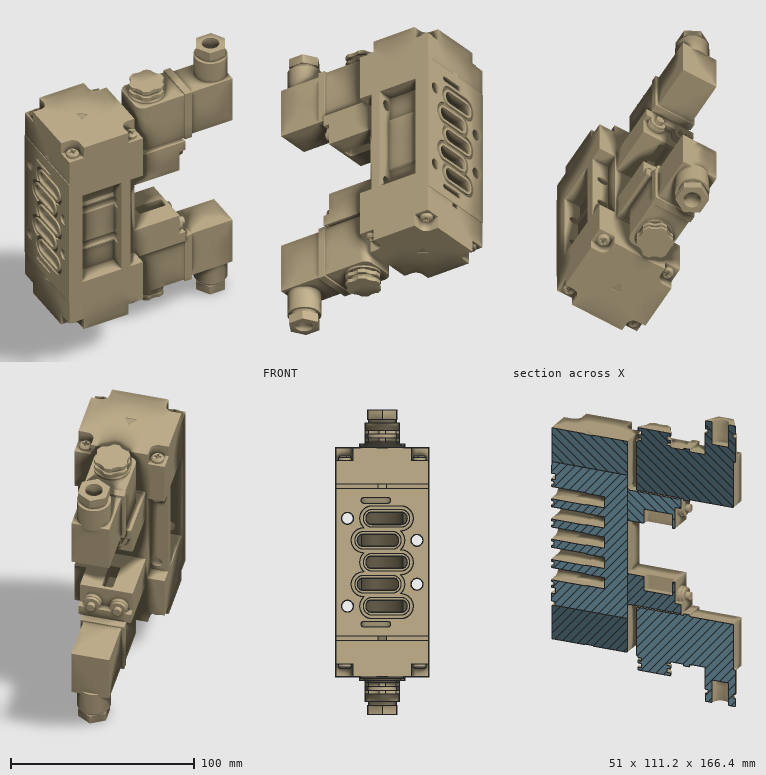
import cadquery as cq
import math


WIDTH = 51.0
HALF_WIDTH = WIDTH / 2
REAR_Y = 46.0
FACE_STEP = 0.3
FACE_HALF_HEIGHT = 40.3
BODY_HALF_HEIGHT = 42.6
KEY_WIDTH = 4.7
KEY_TAB_SETBACK = 0.2
KEY_NOTCH_DEPTH = 2.0

PORT_PITCH = 12.0
PORT_SHIFT = 2.3
PORT_STRAIGHT = 15.7
PORT_RADIUS = 3.5
LIP_RADIUS = 4.8
GROOVE_RADIUS = 6.8
GROOVE_DEPTH = 1.3
SPOOL_Y = 20.6
CHAMBER_RADIUS = 11.3
CHAMBER_HEIGHT = 6.3

PILOT_SLOT_LENGTH = 16.2
PILOT_SLOT_HEIGHT = 3.2
PILOT_SLOT_DEPTH = 2.5
PILOT_SLOT_X = -3.5
PILOT_SLOT_Z = 33.8

BOLT_X = 19.0
BOLT_RADIUS = 3.2
WINDOW_HALF_HEIGHT = 29.8
WINDOW_FRONT_Y = 8.5
WINDOW_REAR_Y = 32.8
WINDOW_DEPTH = 9.8
REAR_NOTCH_Y = 38.1
PAD_HEIGHT = 1.3
PAD_TOP_HALF_HEIGHT = 15.5

CAP_TOP_Z = 62.6
CAP_POCKET_DEPTH = 7.0
CAP_SCREW_INSET_X = 5.2
CAP_SCREW_INSET_Y = 4.7
CAP_POCKET_RADIUS = 4.3
SCREW_HEAD_RADIUS = 3.5
SCREW_HEAD_HEIGHT = 2.5
SCREW_HEAD_CHAMFER = 0.8
SCREW_CROSS_LENGTH = 4.0
SCREW_CROSS_WIDTH = 1.3
SCREW_CROSS_DEPTH = 1.5
ARROW_SIDE = 6.7
ARROW_BASE_Y = 20.1
ARROW_DEPTH = 0.3
ARROW_CORNER = 0.5

PILOT_HALF_WIDTH = 14.8
PILOT_INNER_Z = 15.7
PILOT_TOP_Z = 34.5
PILOT_END_Y = 78.3
PILOT_LEDGE_Y = 74.6
PILOT_LEDGE_Z = 28.3
RIM_WIDTH = 1.2
RIM_SIDE_END_Y = 76.8
SEAT_DEPTH = 0.5
SEAT_HOLE_X = 8.3
SEAT_HOLE_Y = 52.1
SEAT_HOLE_RADIUS = 2.5
SEAT_HOLE_DEPTH = 1.7
PILOT_POCKET_WIDTH = 6.3
PILOT_POCKET_REAR_Y = 72.8
PILOT_POCKET_LENGTH = 16.6
PILOT_POCKET_DEPTH = 8.3
PILOT_POCKET_CORNER = 1.3
OVERRIDE_X = 7.5
OVERRIDE_Z = 26.0
OVERRIDE_STEPS = [(5.0, 76.6), (4.5, 78.3), (2.3, 80.8)]

COIL_HALF_WIDTH = 11.7
COIL_FRONT_Y = 51.1
COIL_TOP_Z = 63.6
COIL_CORNER = 4.7
PLATE_HALF_WIDTH = 12.3
PLATE_FRONT_Y = 79.5
PLATE_REAR_Y = 83.5
PLATE_BOTTOM_Z = 33.5
PLATE_TOP_Z = 64.6
PLUG_HALF_WIDTH = 10.7
PLUG_REAR_Y = 109.9
PLUG_BOTTOM_Z = PILOT_TOP_Z
PLUG_TOP_Z = 63.1

GLAND_RADIUS = 9.3
GLAND_Y = 101.9
GLAND_NUT_RADIUS = 9.2
GLAND_BOTTOM_Z = 61.5
GLAND_TOP_Z = 76.1
GLAND_NECK_RADIUS = 7.7
GLAND_NUT_Z = 78.1
GLAND_TOP_END_Z = 83.2
CABLE_HOLE_RADIUS = 4.8
CABLE_HOLE_DEPTH = 13.3

KNOB_Y = 62.1
KNOB_RADIUS = 10.0
KNOB_NECK_RADIUS = 7.8
KNOB_TOP_Z = 72.0
KNOB_BASE_HEIGHT = 1.0
KNOB_GRIP_HEIGHT = 2.0
KNOB_GRIP_BOTTOMS = [65.8, 70.0]
KNOB_LOBES = 6
KNOB_LOBE_HALF_ANGLE = math.radians(10.7)
KNOB_SCALLOP_RADIUS = 8.7


def block(x_range, y_range, z_range):
    """Box between two limits along each axis."""
    (x0, x1), (y0, y1), (z0, z1) = x_range, y_range, z_range
    return cq.Workplane("XY").box(x1 - x0, y1 - y0, z1 - z0, centered=False).translate((x0, y0, z0))


def centred_block(half_width, y_range, z_range):
    """Box symmetric about X = 0."""
    return block((-half_width, half_width), y_range, z_range)


def post(x, y, radius, z0, z1):
    """Cylinder along Z."""
    return cq.Workplane("XY", origin=(x, y, z0)).circle(radius).extrude(z1 - z0)


def face_slot(x, z, straight, radius, depth):
    """Round-ended slot along X, running back from the port face."""
    return cq.Workplane("XZ", origin=(x, 0, z)).slot2D(straight + 2 * radius, 2 * radius).extrude(-depth)


def cut_ports(body):
    """Five staggered ports with chambers, inside one joined gasket groove."""
    ports = [(PORT_SHIFT if i % 2 == 0 else -PORT_SHIFT, i * PORT_PITCH) for i in range(-2, 3)]
    for x, z in ports:
        body = body.cut(face_slot(x, z, PORT_STRAIGHT, GROOVE_RADIUS, GROOVE_DEPTH))
    for x, z in ports:
        body = body.union(face_slot(x, z, PORT_STRAIGHT, LIP_RADIUS, GROOVE_DEPTH))
    for x, z in ports:
        body = body.cut(face_slot(x, z, PORT_STRAIGHT, PORT_RADIUS, SPOOL_Y))
        chamber = post(0, SPOOL_Y, CHAMBER_RADIUS, z - CHAMBER_HEIGHT / 2, z + CHAMBER_HEIGHT / 2)
        body = body.cut(chamber)
    return body


def side_window():
    """Cutter for the window in the -X side, leaving a sloped-end pad on its floor."""
    floor_x = -HALF_WIDTH + WINDOW_DEPTH
    pad_x = floor_x - PAD_HEIGHT
    pad_base = PAD_TOP_HALF_HEIGHT + PAD_HEIGHT
    outline = [
        (-HALF_WIDTH, -WINDOW_HALF_HEIGHT),
        (floor_x, -WINDOW_HALF_HEIGHT),
        (floor_x, -pad_base),
        (pad_x, -PAD_TOP_HALF_HEIGHT),
        (pad_x, PAD_TOP_HALF_HEIGHT),
        (floor_x, pad_base),
        (floor_x, WINDOW_HALF_HEIGHT),
        (-HALF_WIDTH, WINDOW_HALF_HEIGHT),
    ]
    plane = cq.Workplane("XZ", origin=(0, WINDOW_FRONT_Y, 0))
    return plane.polyline(outline).close().extrude(WINDOW_FRONT_Y - WINDOW_REAR_Y)


def rear_notch():
    """Cutter for the notch along the rear edge of the -X side."""
    x_range = (-HALF_WIDTH, -HALF_WIDTH + WINDOW_DEPTH)
    return block(x_range, (REAR_NOTCH_Y, REAR_Y), (-WINDOW_HALF_HEIGHT, WINDOW_HALF_HEIGHT))


def make_body():
    body = centred_block(HALF_WIDTH, (FACE_STEP, REAR_Y), (-BODY_HALF_HEIGHT, BODY_HALF_HEIGHT))
    body = body.union(
        centred_block(HALF_WIDTH, (0, REAR_Y), (-FACE_HALF_HEIGHT, FACE_HALF_HEIGHT))
    )
    tab_y = (KEY_TAB_SETBACK, REAR_Y)
    body = body.union(centred_block(KEY_WIDTH / 2, tab_y, (FACE_HALF_HEIGHT, BODY_HALF_HEIGHT)))
    notch_y = (0, KEY_NOTCH_DEPTH)
    body = body.cut(centred_block(KEY_WIDTH / 2, notch_y, (-BODY_HALF_HEIGHT, -FACE_HALF_HEIGHT)))
    body = cut_ports(body)
    straight = PILOT_SLOT_LENGTH - PILOT_SLOT_HEIGHT
    for z in (-PILOT_SLOT_Z, PILOT_SLOT_Z):
        body = body.cut(face_slot(PILOT_SLOT_X, z, straight, PILOT_SLOT_HEIGHT / 2, PILOT_SLOT_DEPTH))
    for cutter in (side_window(), rear_notch()):
        body = body.cut(cutter).cut(cutter.mirror("YZ"))
    bolts = []
    for side in (-1, 1):
        bolts.append((-BOLT_X, side * 2 * PORT_PITCH))
        bolts.append((BOLT_X, side * PORT_PITCH))
    holes = cq.Workplane("XZ").pushPoints(bolts).circle(BOLT_RADIUS).extrude(-REAR_Y)
    return body.cut(holes)


def cap_screw(x, y, z):
    """Screw head with a cross recess, standing on the floor of a cap pocket."""
    head = post(x, y, SCREW_HEAD_RADIUS, z, z + SCREW_HEAD_HEIGHT)
    head = head.faces(">Z").edges().chamfer(SCREW_HEAD_CHAMFER)
    top = cq.Workplane("XY", origin=(x, y, z + SCREW_HEAD_HEIGHT))
    head = head.cut(top.rect(SCREW_CROSS_LENGTH, SCREW_CROSS_WIDTH).extrude(-SCREW_CROSS_DEPTH))
    return head.cut(top.rect(SCREW_CROSS_WIDTH, SCREW_CROSS_LENGTH).extrude(-SCREW_CROSS_DEPTH))


def arrow():
    """Cutter for the triangular flow mark on the cap top."""
    tip_y = ARROW_BASE_Y + ARROW_SIDE * math.sin(math.radians(60))
    points = [(-ARROW_SIDE / 2, ARROW_BASE_Y), (ARROW_SIDE / 2, ARROW_BASE_Y), (0, tip_y)]
    mark = cq.Workplane("XY", origin=(0, 0, CAP_TOP_Z)).polyline(points).close().extrude(-ARROW_DEPTH)
    return mark.edges("|Z").fillet(ARROW_CORNER)


def make_cap():
    cap = centred_block(HALF_WIDTH, (FACE_STEP, REAR_Y), (BODY_HALF_HEIGHT, CAP_TOP_Z))
    cap = cap.cut(arrow())
    floor_z = CAP_TOP_Z - CAP_POCKET_DEPTH
    pocket_width = 2 * (CAP_SCREW_INSET_X + CAP_POCKET_RADIUS)
    pocket_length = 2 * (CAP_SCREW_INSET_Y + CAP_POCKET_RADIUS)
    pocket = cq.Workplane("XY").rect(pocket_width, pocket_length).extrude(CAP_POCKET_DEPTH)
    pocket = pocket.edges("|Z").fillet(CAP_POCKET_RADIUS)
    for side in (-1, 1):
        screw_x = side * (HALF_WIDTH - CAP_SCREW_INSET_X)
        for edge_y, screw_y in (
            (FACE_STEP, FACE_STEP + CAP_SCREW_INSET_Y),
            (REAR_Y, REAR_Y - CAP_SCREW_INSET_Y),
        ):
            cap = cap.cut(pocket.translate((side * HALF_WIDTH, edge_y, floor_z)))
            cap = cap.union(cap_screw(screw_x, screw_y, floor_z))
    return cap


def make_pilot():
    pilot = centred_block(PILOT_HALF_WIDTH, (REAR_Y, PILOT_LEDGE_Y), (PILOT_INNER_Z, PILOT_TOP_Z))
    pilot = pilot.union(
        centred_block(PILOT_HALF_WIDTH, (REAR_Y, PILOT_END_Y), (PILOT_LEDGE_Z, PILOT_TOP_Z))
    )
    seat_z = PILOT_TOP_Z - SEAT_DEPTH
    seat_y = (REAR_Y + RIM_WIDTH, RIM_SIDE_END_Y)
    pilot = pilot.cut(centred_block(PILOT_HALF_WIDTH - RIM_WIDTH, seat_y, (seat_z, PILOT_TOP_Z)))
    for x in (-SEAT_HOLE_X, SEAT_HOLE_X):
        pilot = pilot.cut(post(x, SEAT_HOLE_Y, SEAT_HOLE_RADIUS, seat_z - SEAT_HOLE_DEPTH, seat_z))
    pocket = centred_block(
        PILOT_POCKET_WIDTH / 2,
        (PILOT_POCKET_REAR_Y - PILOT_POCKET_LENGTH, PILOT_POCKET_REAR_Y),
        (PILOT_INNER_Z, PILOT_INNER_Z + PILOT_POCKET_DEPTH),
    )
    pilot = pilot.cut(pocket.edges("|Z").fillet(PILOT_POCKET_CORNER))
    for x in (-OVERRIDE_X, OVERRIDE_X):
        plane = cq.Workplane("XZ", origin=(x, PILOT_LEDGE_Y, OVERRIDE_Z))
        for radius, end_y in OVERRIDE_STEPS:
            pilot = pilot.union(plane.circle(radius).extrude(PILOT_LEDGE_Y - end_y))
    return pilot


def knob_grip(z):
    """Six-lobed grip ring with concave scallops between the lobes."""
    def at(radius, angle):
        return (radius * math.cos(angle), radius * math.sin(angle))

    step = 2 * math.pi / KNOB_LOBES
    first_lobe = step / 2
    outline = cq.Workplane("XY", origin=(0, KNOB_Y, z))
    outline = outline.moveTo(*at(KNOB_RADIUS, first_lobe - KNOB_LOBE_HALF_ANGLE))
    for i in range(KNOB_LOBES):
        lobe = first_lobe + i * step
        outline = outline.threePointArc(
            at(KNOB_RADIUS, lobe), at(KNOB_RADIUS, lobe + KNOB_LOBE_HALF_ANGLE)
        )
        outline = outline.threePointArc(
            at(KNOB_SCALLOP_RADIUS, lobe + step / 2),
            at(KNOB_RADIUS, lobe + step - KNOB_LOBE_HALF_ANGLE),
        )
    return outline.close().extrude(KNOB_GRIP_HEIGHT)


def make_knob():
    """Coil retaining knob on top of the coil."""
    knob = post(0, KNOB_Y, KNOB_RADIUS, COIL_TOP_Z, COIL_TOP_Z + KNOB_BASE_HEIGHT)
    knob = knob.union(post(0, KNOB_Y, KNOB_NECK_RADIUS, COIL_TOP_Z, KNOB_TOP_Z))
    for z in KNOB_GRIP_BOTTOMS:
        knob = knob.union(knob_grip(z))
    return knob


def make_gland():
    """Cable gland with a hexagon nut whose corners point along Y."""
    gland = post(0, GLAND_Y, GLAND_RADIUS, GLAND_BOTTOM_Z, GLAND_TOP_Z)
    gland = gland.union(post(0, GLAND_Y, GLAND_NECK_RADIUS, GLAND_BOTTOM_Z, GLAND_NUT_Z))
    nut = cq.Workplane("XY").polygon(6, 2 * GLAND_NUT_RADIUS).extrude(GLAND_TOP_END_Z - GLAND_NUT_Z)
    nut = nut.rotate((0, 0, 0), (0, 0, 1), 90).translate((0, GLAND_Y, GLAND_NUT_Z))
    return gland.union(nut)


def make_solenoid():
    coil_y = (COIL_FRONT_Y, PLATE_FRONT_Y)
    solenoid = centred_block(COIL_HALF_WIDTH, coil_y, (PILOT_TOP_Z, COIL_TOP_Z))
    solenoid = solenoid.edges("|Z and <Y").fillet(COIL_CORNER)
    plate_y = (PLATE_FRONT_Y, PLATE_REAR_Y)
    solenoid = solenoid.union(centred_block(PLATE_HALF_WIDTH, plate_y, (PLATE_BOTTOM_Z, PLATE_TOP_Z)))
    plug_y = (PLATE_REAR_Y, PLUG_REAR_Y)
    solenoid = solenoid.union(centred_block(PLUG_HALF_WIDTH, plug_y, (PLUG_BOTTOM_Z, PLUG_TOP_Z)))
    solenoid = solenoid.union(make_knob()).union(make_gland())
    cable_hole = post(0, GLAND_Y, CABLE_HOLE_RADIUS, GLAND_TOP_END_Z - CABLE_HOLE_DEPTH, GLAND_TOP_END_Z)
    return solenoid.cut(cable_hole)


solids = [make_body().val()]
for part in (make_cap(), make_pilot(), make_solenoid()):
    solids.append(part.val())
    solids.append(part.mirror("XY").val())

result = cq.Compound.makeCompound(solids)